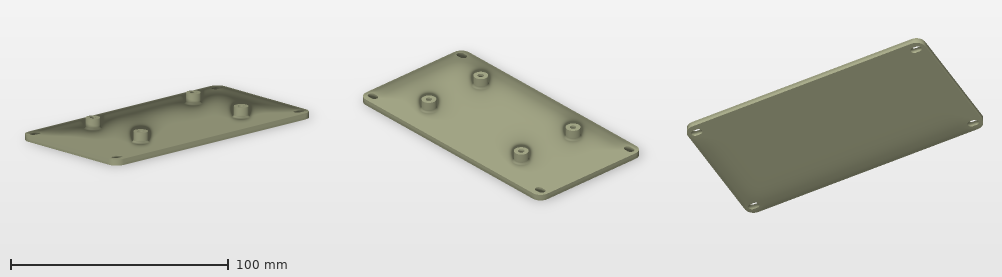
import cadquery as cq

plate_width = 64.0
plate_length = 124.0
plate_thickness = 3.0
corner_radius = 4.7

slot_width = 3.5
slot_length = 5.5
slot_spacing_x = 55.0
slot_spacing_y = 114.6

total_height = 8.0
standoff_diameter = 6.8
standoff_hole_diameter = 2.9
standoff_spacing_x = 32.1
standoff_spacing_y = 63.2
foot_fillet_radius = 1.0


def make_plate():
    """Flat plate with rounded corners, resting on Z = 0."""
    blank = cq.Workplane("XY").box(plate_width, plate_length, plate_thickness, centered=(True, True, False))
    return blank.edges("|Z").fillet(corner_radius)


def add_standoffs(body):
    """Four cylinders, blended into the top of the plate."""
    standoffs = (
        cq.Workplane("XY")
        .rarray(standoff_spacing_x, standoff_spacing_y, 2, 2)
        .circle(standoff_diameter / 2)
        .extrude(total_height)
    )
    foot_reach_x = (standoff_spacing_x + standoff_diameter) / 2
    foot_reach_y = (standoff_spacing_y + standoff_diameter) / 2
    foot_edges = cq.selectors.BoxSelector(
        (-foot_reach_x, -foot_reach_y, plate_thickness / 2),
        (foot_reach_x, foot_reach_y, (plate_thickness + total_height) / 2),
    )
    return body.union(standoffs).edges("%CIRCLE").edges(foot_edges).fillet(foot_fillet_radius)


def cut_standoff_holes(body):
    """Blind screw holes, ending at the top of the plate."""
    holes = (
        cq.Workplane("XY")
        .workplane(offset=plate_thickness)
        .rarray(standoff_spacing_x, standoff_spacing_y, 2, 2)
        .circle(standoff_hole_diameter / 2)
        .extrude(total_height - plate_thickness)
    )
    return body.cut(holes)


def cut_corner_slots(body):
    """Through slots near the four plate corners."""
    slots = (
        cq.Workplane("XY")
        .rarray(slot_spacing_x, slot_spacing_y, 2, 2)
        .slot2D(slot_length, slot_width, 90)
        .extrude(plate_thickness)
    )
    return body.cut(slots)


plate = make_plate()
plate_with_standoffs = add_standoffs(plate)
plate_with_holes = cut_standoff_holes(plate_with_standoffs)
result = cut_corner_slots(plate_with_holes)